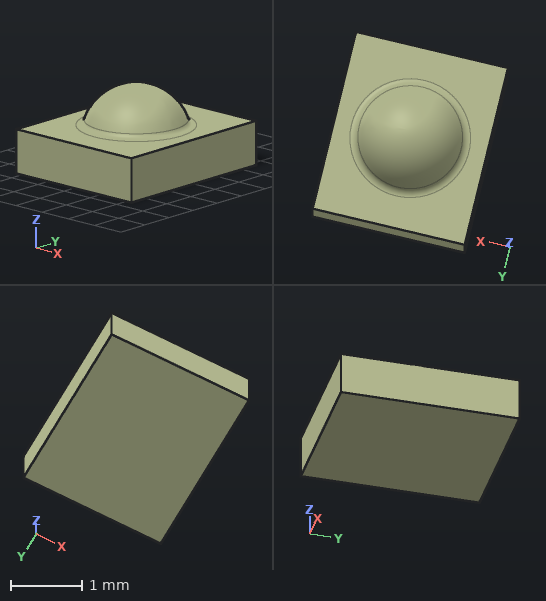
import cadquery as cq
import math

body_width = 2.2
body_length = 2.6
body_height = 0.65
total_height = 1.25
dome_radius = 0.78
fillet_radius = 0.12

sphere_z = total_height - dome_radius
fillet_z = body_height + fillet_radius
center_distance = dome_radius + fillet_radius
center_rise = fillet_z - sphere_z
foot_radius = math.sqrt(center_distance**2 - center_rise**2)
slope = math.atan2(center_rise, foot_radius)


def sphere_point(angle):
    """Radius and height of a point on the dome, by elevation angle."""
    return (dome_radius * math.cos(angle), sphere_z + dome_radius * math.sin(angle))


def fillet_point(angle):
    """Radius and height of a point on the fillet, measured from its centre."""
    return (foot_radius + fillet_radius * math.cos(angle), fillet_z + fillet_radius * math.sin(angle))


body = cq.Workplane("XY").box(body_width, body_length, body_height, centered=(True, True, False))

lens_base_z = body_height / 2
tangent_angle = math.pi + slope
foot_angle = 3 * math.pi / 2
lens = (
    cq.Workplane("XZ")
    .moveTo(0, lens_base_z)
    .lineTo(foot_radius, lens_base_z)
    .lineTo(foot_radius, body_height)
    .threePointArc(fillet_point((tangent_angle + foot_angle) / 2), sphere_point(slope))
    .threePointArc(sphere_point((slope + math.pi / 2) / 2), (0, total_height))
    .close()
    .revolve(360, (0, 0, 0), (0, 1, 0))
)

result = body.union(lens)